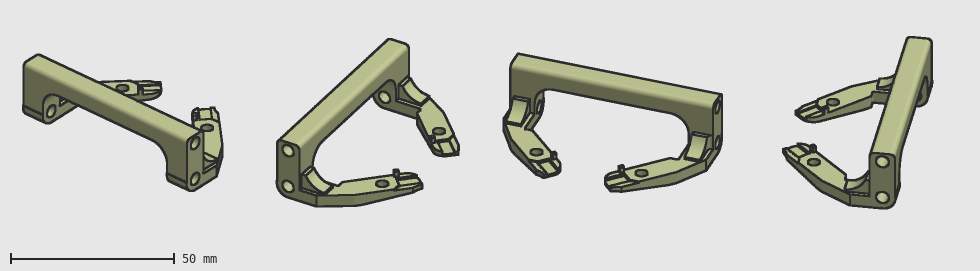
import cadquery as cq
import math

LENGTH = 66.0
HEIGHT = 20.0
BAR_DEPTH = 8.05
LEG_WIDTH = 8.0
OPENING_TOP = 14.05
OPENING_RADIUS = 6.0
TOP_FILLET = 1.6

FOOT_RADIUS = 4.0
FOOT_TOP = 4.6
FOOT_PROUD = 0.1

CROSS_HOLE_DIAMETER = 4.0
CROSS_HOLE_Y = FOOT_RADIUS
LOWER_HOLE_Z = FOOT_RADIUS
UPPER_HOLE_Z = 17.0
UPPER_HOLE_DEPTH = LEG_WIDTH

ARM_THICKNESS = 4.0
BLADE_ANGLE = 45.0
BLADE_WIDTH = 8.0
BLADE_CENTER_V = 8.6
BLADE_INNER_V = BLADE_CENTER_V - BLADE_WIDTH / 2
BLADE_OUTER_V = BLADE_CENTER_V + BLADE_WIDTH / 2
BLADE_INNER_START_U = 20.45
BLADE_OUTER_START_U = 21.25
BLADE_END_U = 42.95
ROOT_SIDE_END_Y = 14.1
ROOT_INNER_END_Y = 17.1
ROOT_CORNER_FILLET = 0.495

TIP_RADIUS = BLADE_WIDTH / 2
TIP_HOLLOW_LENGTH = 3.25
TIP_HOLLOW_DEPTH = 0.9
TAPER_START_U = 23.75
TAPER_ANGLE = 6.8
UNDERSIDE_FILLET = 0.45

BLADE_HOLE_DIAMETER = 3.7
BLADE_HOLE_U = 31.1
CHANNEL_START_U = 36.0
CHANNEL_WIDTH = 3.8
CHANNEL_FLOOR_Z = 3.25
LEDGE_START_Y = 32.8
LEDGE_Z = 3.6
PEG_START_U = 35.65
PEG_LENGTH = 1.4
PEG_WIDTH = 1.2
PEG_TOP_Z = 5.8

GUSSET_OUTER_X = 1.4
GUSSET_WIDTH = 5.0
GUSSET_END_Y = 16.1
GUSSET_END_Z = 4.75
GUSSET_TOP_Z = 9.0
GUSSET_TOP_END_Y = 9.5
GUSSET_RADIUS = 7.25
GUSSET_SIDE_FILLET = 1.05

CLEARANCE = 3.3


def box(x_start, x_end, y_start, y_end, z_start, z_end):
    size = (x_end - x_start, y_end - y_start, z_end - z_start)
    return cq.Workplane("XY").box(*size, centered=False).translate((x_start, y_start, z_start))


def turned(body):
    """Turn a body from blade directions (U, V) into the part's X and Y."""
    return body.rotate((0, 0, 0), (0, 0, 1), BLADE_ANGLE)


def blade_point(u, v):
    """X and Y of a point given along and across the blade."""
    angle = math.radians(BLADE_ANGLE)
    return (u * math.cos(angle) - v * math.sin(angle), u * math.sin(angle) + v * math.cos(angle))


def mirrored(body):
    """Copy of a left-end body for the right end."""
    return body.mirror("YZ").translate((LENGTH, 0, 0))


def cross_hole(x_start, x_end, z):
    hole = cq.Workplane("YZ").circle(CROSS_HOLE_DIAMETER / 2).extrude(x_end - x_start)
    return hole.translate((x_start, CROSS_HOLE_Y, z))


def make_bar():
    bar = box(0, LENGTH, FOOT_PROUD, BAR_DEPTH, 0, HEIGHT)
    bar = bar.edges("|X and >Z").fillet(TOP_FILLET)
    foot = box(0, LENGTH, 0, BAR_DEPTH, 0, FOOT_TOP)
    foot = foot.edges("|X and <Z and <Y").fillet(FOOT_RADIUS)
    bar = bar.cut(box(0, LENGTH, 0, BAR_DEPTH, 0, FOOT_TOP)).union(foot)
    opening_end = LENGTH - LEG_WIDTH
    opening = box(LEG_WIDTH, opening_end, 0, BAR_DEPTH, -OPENING_TOP, OPENING_TOP)
    return bar.cut(opening.edges("|Y and >Z").fillet(OPENING_RADIUS))


def make_root():
    inner_corner_x = ROOT_INNER_END_Y - BLADE_INNER_V * math.sqrt(2)
    root = (
        cq.Workplane("XY")
        .moveTo(0, BAR_DEPTH)
        .lineTo(0, ROOT_SIDE_END_Y)
        .lineTo(*blade_point(BLADE_OUTER_START_U, BLADE_OUTER_V))
        .lineTo(*blade_point(BLADE_INNER_START_U, BLADE_INNER_V))
        .lineTo(inner_corner_x, ROOT_INNER_END_Y)
        .lineTo(LEG_WIDTH, ROOT_INNER_END_Y)
        .lineTo(LEG_WIDTH, BAR_DEPTH)
        .close()
        .extrude(ARM_THICKNESS)
    )
    inner_corners = cq.selectors.BoxSelector(
        (LEG_WIDTH - ROOT_CORNER_FILLET, ROOT_INNER_END_Y - ROOT_CORNER_FILLET, 0),
        (inner_corner_x + ROOT_CORNER_FILLET, ROOT_INNER_END_Y + ROOT_CORNER_FILLET, ARM_THICKNESS),
    )
    return root.edges("|Z").edges(inner_corners).fillet(ROOT_CORNER_FILLET)


def make_blade_body():
    """Tapered blade with its inner and tip edges rounded underneath."""
    taper = math.tan(math.radians(TAPER_ANGLE))
    start_u = BLADE_INNER_START_U
    hollow_radius = (TIP_HOLLOW_LENGTH**2 + TIP_HOLLOW_DEPTH**2) / (2 * TIP_HOLLOW_DEPTH)
    hollow_angle = math.asin(TIP_HOLLOW_LENGTH / hollow_radius) / 2
    hollow_end_v = BLADE_OUTER_V - TIP_HOLLOW_DEPTH
    hollow_middle = (
        BLADE_END_U - hollow_radius * math.sin(hollow_angle),
        hollow_end_v + hollow_radius * (1 - math.cos(hollow_angle)),
    )
    outline = (
        cq.Workplane("XY")
        .moveTo(start_u, BLADE_INNER_V)
        .lineTo(BLADE_END_U - TIP_RADIUS, BLADE_INNER_V)
        .radiusArc((BLADE_END_U, BLADE_INNER_V + TIP_RADIUS), -TIP_RADIUS)
        .lineTo(BLADE_END_U, hollow_end_v)
        .threePointArc(hollow_middle, (BLADE_END_U - TIP_HOLLOW_LENGTH, BLADE_OUTER_V))
        .lineTo(BLADE_OUTER_START_U, BLADE_OUTER_V)
        .close()
        .extrude(ARM_THICKNESS + CLEARANCE)
        .translate((0, 0, -CLEARANCE))
    )
    side_profile = (
        cq.Workplane("XZ")
        .moveTo(start_u, (start_u - TAPER_START_U) * taper)
        .lineTo(BLADE_END_U, (BLADE_END_U - TAPER_START_U) * taper)
        .lineTo(BLADE_END_U, ARM_THICKNESS)
        .lineTo(start_u, ARM_THICKNESS)
        .close()
        .extrude(-(BLADE_OUTER_V + CLEARANCE))
    )
    body = outline.intersect(side_profile)
    inner_and_tip = cq.selectors.BoxSelector(
        (start_u, 0, -CLEARANCE),
        (BLADE_END_U + CLEARANCE, hollow_end_v, ARM_THICKNESS),
    )
    underside_edges = body.faces("<Z").edges(inner_and_tip).edges("not(<X)")
    body = underside_edges.fillet(UNDERSIDE_FILLET)
    return body.intersect(box(0, BLADE_END_U, 0, BLADE_OUTER_V, 0, ARM_THICKNESS))


def make_arm():
    channel_inner_v = BLADE_CENTER_V - CHANNEL_WIDTH / 2
    channel_outer_v = BLADE_CENTER_V + CHANNEL_WIDTH / 2
    past_end = BLADE_END_U + CLEARANCE
    past_side = BLADE_OUTER_V + CLEARANCE
    above = ARM_THICKNESS + CLEARANCE

    channel = box(CHANNEL_START_U, past_end, channel_inner_v, channel_outer_v, CHANNEL_FLOOR_Z, above)
    ledge = turned(box(0, past_end, channel_outer_v, past_side, LEDGE_Z, above))
    ledge = ledge.intersect(box(0, past_end, LEDGE_START_Y, past_end, 0, above))
    hole = cq.Workplane("XY").circle(BLADE_HOLE_DIAMETER / 2).extrude(above)
    hole = hole.translate((BLADE_HOLE_U, BLADE_CENTER_V, 0))
    peg_end_u = PEG_START_U + PEG_LENGTH
    peg_outer_v = BLADE_INNER_V + PEG_WIDTH
    peg = box(PEG_START_U, peg_end_u, BLADE_INNER_V, peg_outer_v, LEDGE_Z, PEG_TOP_Z)

    blade = make_blade_body().cut(channel).cut(hole).union(peg)
    return turned(blade).cut(ledge).union(make_root())


def make_gusset():
    gusset = (
        cq.Workplane("YZ")
        .moveTo(BAR_DEPTH, ARM_THICKNESS)
        .lineTo(GUSSET_END_Y, ARM_THICKNESS)
        .lineTo(GUSSET_END_Y, GUSSET_END_Z)
        .radiusArc((GUSSET_TOP_END_Y, GUSSET_TOP_Z), GUSSET_RADIUS)
        .lineTo(BAR_DEPTH, GUSSET_TOP_Z)
        .close()
        .extrude(GUSSET_WIDTH)
    )
    return gusset.translate((GUSSET_OUTER_X, 0, 0))


def make_gusset_side_fillet():
    """Concave strip blending the outer side of the left gusset into the leg."""
    radius = GUSSET_SIDE_FILLET
    strip = (
        cq.Workplane("XY")
        .moveTo(GUSSET_OUTER_X, BAR_DEPTH)
        .lineTo(GUSSET_OUTER_X, BAR_DEPTH + radius)
        .radiusArc((GUSSET_OUTER_X - radius, BAR_DEPTH), radius)
        .close()
        .extrude(GUSSET_TOP_Z - ARM_THICKNESS)
    )
    return strip.translate((0, 0, ARM_THICKNESS))


left_arm = make_arm().union(make_gusset())

result = make_bar().union(left_arm).union(mirrored(left_arm)).union(make_gusset_side_fillet())
result = result.cut(cross_hole(0, LENGTH, LOWER_HOLE_Z))
result = result.cut(cross_hole(0, UPPER_HOLE_DEPTH, UPPER_HOLE_Z))
result = result.cut(cross_hole(LENGTH - UPPER_HOLE_DEPTH, LENGTH, UPPER_HOLE_Z))